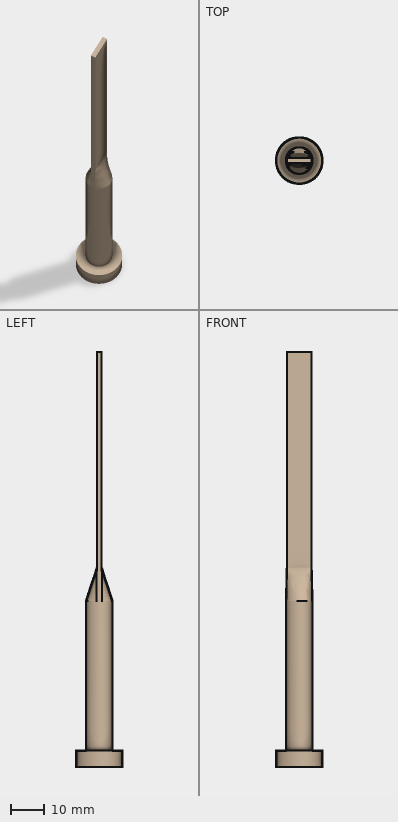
import cadquery as cq

total_height = 125.0
head_diameter = 14.0
head_height = 5.0
shaft_diameter = 8.0
shaft_top = 50.0
blade_bottom = 60.0
blade_width = 7.5
blade_thickness = 1.5

head = cq.Workplane("XY").circle(head_diameter / 2).extrude(head_height)
shaft = (
    cq.Workplane("XY")
    .workplane(offset=head_height)
    .circle(shaft_diameter / 2)
    .extrude(shaft_top - head_height)
)

transition = (
    cq.Workplane("XY")
    .workplane(offset=shaft_top)
    .circle(shaft_diameter / 2)
    .workplane(offset=blade_bottom - shaft_top)
    .rect(blade_width, blade_thickness)
    .loft(ruled=True)
)

blade = (
    cq.Workplane("XY")
    .workplane(offset=blade_bottom)
    .rect(blade_width, blade_thickness)
    .extrude(total_height - blade_bottom)
)

result = head.union(shaft).union(transition).union(blade)